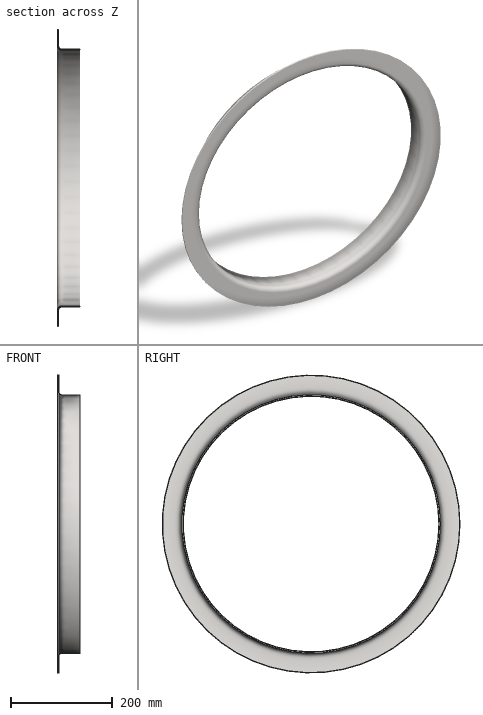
import cadquery as cq

flange_diameter = 585.0
collar_outer_diameter = 508.0
wall = 3.0
length = 45.0
bend_outer_radius = 9.0
bend_inner_radius = bend_outer_radius - wall

flange_radius = flange_diameter / 2
outer_radius = collar_outer_diameter / 2
bore_radius = outer_radius - wall


def collar_profile():
    """Half section: flange at X = 0, rounded bend, tube running to X = length."""
    bend_center = cq.Vector(bend_outer_radius, bore_radius + bend_outer_radius)
    diagonal = cq.Vector(-1, -1).normalized()
    face_arc_middle = bend_center + diagonal * bend_outer_radius
    back_arc_middle = bend_center + diagonal * bend_inner_radius
    return (
        cq.Workplane("XY")
        .moveTo(0, flange_radius)
        .lineTo(0, bend_center.y)
        .threePointArc(face_arc_middle.toTuple()[:2], (bend_center.x, bore_radius))
        .lineTo(length, bore_radius)
        .lineTo(length, outer_radius)
        .lineTo(bend_center.x, outer_radius)
        .threePointArc(back_arc_middle.toTuple()[:2], (wall, bend_center.y))
        .lineTo(wall, flange_radius)
        .close()
    )


result = collar_profile().revolve(360, (0, 0, 0), (1, 0, 0))